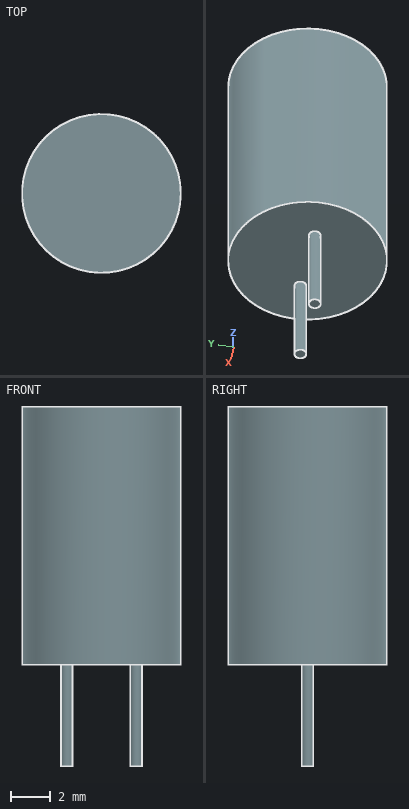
import cadquery as cq

total_height = 18.1
body_diameter = 8.0
body_height = 13.0

lead_diameter = 0.6
lead_spacing = 3.5
lead_length = total_height - body_height


def make_body():
    """Plain upright cylinder resting on the Z = 0 plane."""
    return cq.Workplane("XY").circle(body_diameter / 2).extrude(body_height)


def make_lead(x):
    """Round lead hanging from the underside of the body."""
    return cq.Workplane("XY").center(x, 0).circle(lead_diameter / 2).extrude(-lead_length)


body = make_body()

leads = []
for side in (-1, 1):
    lead = make_lead(side * lead_spacing / 2)
    leads.append(lead.val())

result = cq.Compound.makeCompound([body.val(), *leads])